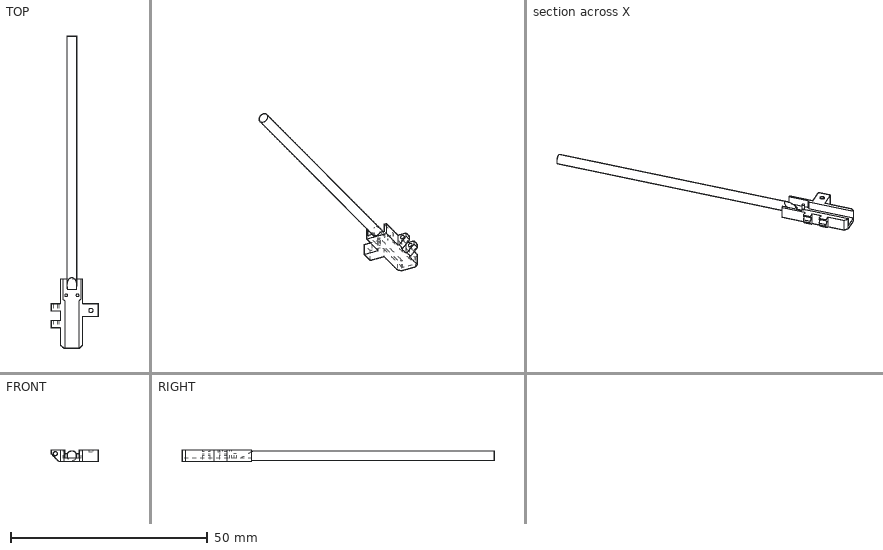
import cadquery as cq


overall_width = 12.08

tray_left = -2.95
tray_right = 2.75
tray_length = 17.7
tray_height = 3.0
floor_thickness = 0.95
nose_half_width = 2.0
nose_chamfer_length = 0.8

channel_width = 3.6
recess_width = 4.6
recess_start = 12.55
recess_taper = (recess_width - channel_width) / 2

rod_diameter = 2.5
rod_axis_height = 1.5
rod_end = 79.48
rod_start = 15.0
rod_bevel_end = 18.0

pin_diameter = 0.7
pin_spacing = 2.9
pin_y = 13.5
pin_top = 2.05

hinge_reach = 2.35
hinge_width = 1.9
hinge_centers_y = (6.15, 10.45)
hinge_slope_height = 2.0
hinge_hole_diameter = 1.0
hinge_hole_x = -4.2
hinge_hole_z = 2.05

latch_back = 11.4
latch_width = 3.3
latch_hole_diameter = 1.11
latch_hole_depth = 0.5
latch_hole_x = 4.86
latch_hole_y = 9.65

hinge_tip_x = tray_left - hinge_reach
latch_tip_x = hinge_tip_x + overall_width


def channel_cut():
    """Open channel above the floor, widening towards the rod end."""
    narrow = channel_width / 2
    wide = recess_width / 2
    return (
        cq.Workplane("XY", origin=(0, 0, floor_thickness))
        .moveTo(-narrow, 0)
        .lineTo(narrow, 0)
        .lineTo(narrow, recess_start - recess_taper)
        .lineTo(wide, recess_start)
        .lineTo(wide, tray_length)
        .lineTo(-wide, tray_length)
        .lineTo(-wide, recess_start)
        .lineTo(-narrow, recess_start - recess_taper)
        .close()
        .extrude(tray_height - floor_thickness)
    )


def make_tray():
    """Walled tray with a chamfered nose and a channel open at both ends."""
    block = (
        cq.Workplane("XY")
        .moveTo(-nose_half_width, 0)
        .lineTo(nose_half_width, 0)
        .lineTo(tray_right, nose_chamfer_length)
        .lineTo(tray_right, tray_length)
        .lineTo(tray_left, tray_length)
        .lineTo(tray_left, nose_chamfer_length)
        .close()
        .extrude(tray_height)
    )
    return block.cut(channel_cut())


def make_rod():
    """Round rod whose tray end is bevelled from the floor up to the rod's crest."""
    rod = (
        cq.Workplane("XZ", origin=(0, rod_start, rod_axis_height))
        .circle(rod_diameter / 2)
        .extrude(rod_start - rod_end)
    )
    crest = rod_axis_height + rod_diameter / 2
    bevel = (
        cq.Workplane("YZ")
        .moveTo(rod_start, floor_thickness)
        .lineTo(rod_bevel_end, crest)
        .lineTo(rod_start, crest)
        .close()
        .extrude(rod_diameter / 2, both=True)
    )
    return rod.cut(bevel)


def make_pins():
    return (
        cq.Workplane("XY")
        .pushPoints([(-pin_spacing / 2, pin_y), (pin_spacing / 2, pin_y)])
        .circle(pin_diameter / 2)
        .extrude(pin_top)
    )


def make_hinge_lug(center_y):
    """Lug with an underside sloping at 45 degrees and a cross hole along Y."""
    back = center_y + hinge_width / 2
    lug = (
        cq.Workplane("XZ", origin=(0, back, 0))
        .moveTo(tray_left, 0)
        .lineTo(tray_left, tray_height)
        .lineTo(hinge_tip_x, tray_height)
        .lineTo(hinge_tip_x, hinge_slope_height)
        .lineTo(hinge_tip_x + hinge_slope_height, 0)
        .close()
        .extrude(hinge_width)
    )
    hole = (
        cq.Workplane("XZ", origin=(hinge_hole_x, back, hinge_hole_z))
        .circle(hinge_hole_diameter / 2)
        .extrude(hinge_width)
    )
    return lug.cut(hole)


def make_latch():
    """Block, level with the tray walls, with a blind hole in its top."""
    length = latch_tip_x - tray_right
    block = (
        cq.Workplane("XY", origin=(tray_right, latch_back - latch_width, 0))
        .box(length, latch_width, tray_height, centered=False)
    )
    hole = (
        cq.Workplane("XY", origin=(latch_hole_x, latch_hole_y, tray_height))
        .circle(latch_hole_diameter / 2)
        .extrude(-latch_hole_depth)
    )
    return block.cut(hole)


result = make_tray().union(make_rod()).union(make_pins()).union(make_latch())
for hinge_y in hinge_centers_y:
    result = result.union(make_hinge_lug(hinge_y))